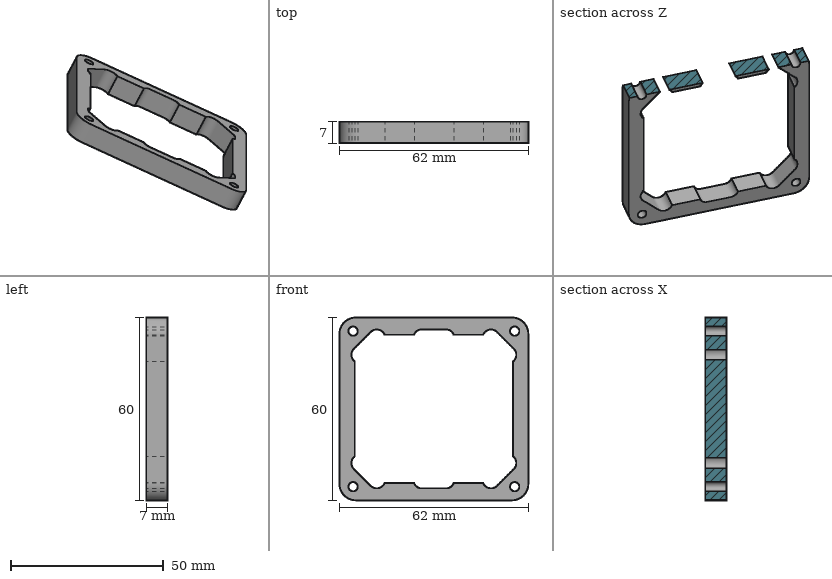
import cadquery as cq
import math

WIDTH = 62.0
DEPTH = 7.0
HEIGHT = 60.0
CORNER_RADIUS = 5.5

HOLE_DIAMETER = 3.0
HOLE_INSET = 4.5

SIDE_WALL = 5.1
TOP_WALL = 5.75

RELIEF_RADIUS = 2.8
RELIEF_NEAR = 6.8
RELIEF_FAR = 12.3

NOTCH_WIDTH = 13.15
NOTCH_WALL = 4.0
NOTCH_RADIUS = 2.5

SIGNS = (-1, 1)


def front_plane():
    """XZ sketch plane on the front face; its normal points toward -Y."""
    return cq.Workplane("XZ", origin=(0, -DEPTH / 2, 0))


def corner_points(inset_x, inset_z):
    """Four mirrored points, given by their distance from the outer faces."""
    x = WIDTH / 2 - inset_x
    z = HEIGHT / 2 - inset_z
    return [(sx * x, sz * z) for sx in SIGNS for sz in SIGNS]


def rounded_plate(width, height, radius):
    """Plate of full depth with rounded corners."""
    plate = front_plane().rect(width, height).extrude(-DEPTH)
    return plate.edges("|Y").fillet(radius)


def cylinders(points, diameter):
    """Cylinders of full depth at the given points."""
    return front_plane().pushPoints(points).circle(diameter / 2).extrude(-DEPTH)


def window():
    """Rectangle whose 45 degree corner edges run from tangent to tangent of the reliefs."""
    half_x = WIDTH / 2 - SIDE_WALL
    half_z = HEIGHT / 2 - TOP_WALL
    wall_x = WIDTH / 2 - RELIEF_FAR
    wall_z = HEIGHT / 2 - RELIEF_FAR
    tangent_shift = RELIEF_RADIUS / math.sqrt(2)
    side_x = WIDTH / 2 - RELIEF_NEAR + tangent_shift
    side_z = wall_z + tangent_shift
    top_x = wall_x + tangent_shift
    top_z = HEIGHT / 2 - RELIEF_NEAR + tangent_shift
    corner = [(half_x, wall_z), (side_x, side_z), (top_x, top_z), (wall_x, half_z)]
    upper = corner + [(-x, z) for x, z in reversed(corner)]
    outline = upper + [(x, -z) for x, z in reversed(upper)]
    return front_plane().polyline(outline).close().extrude(-DEPTH)


def reliefs():
    """Two round reliefs per window corner."""
    points = corner_points(RELIEF_NEAR, RELIEF_FAR) + corner_points(RELIEF_FAR, RELIEF_NEAR)
    return cylinders(points, 2 * RELIEF_RADIUS)


frame = rounded_plate(WIDTH, HEIGHT, CORNER_RADIUS)
holes = cylinders(corner_points(HOLE_INSET, HOLE_INSET), HOLE_DIAMETER)
notches = rounded_plate(NOTCH_WIDTH, HEIGHT - 2 * NOTCH_WALL, NOTCH_RADIUS)

result = frame.cut(window()).cut(reliefs()).cut(notches).cut(holes)